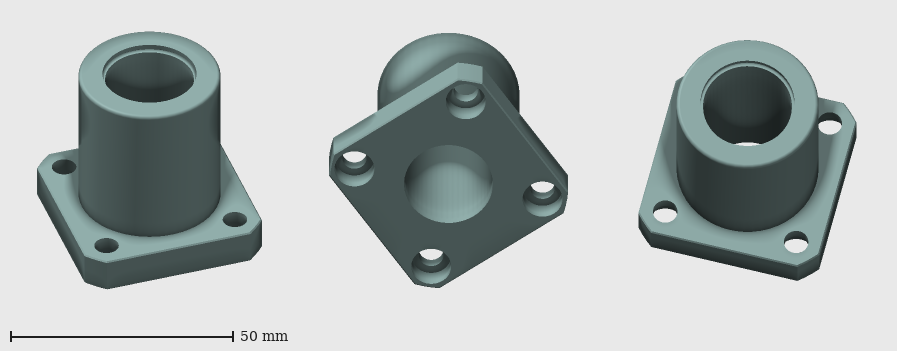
import cadquery as cq

total_height = 42.0
body_diameter = 32.0
body_top_fillet = 0.8

flange_side = 42.0
flange_corner_diameter = 54.0
flange_turn = 45.0
flange_thickness = 8.0
flange_edge_chamfer = 0.3

bore_diameter = 20.0
mouth_diameter = 21.2
mouth_depth = 1.1
groove_diameter = 22.4
groove_width = 0.56

hole_diameter = 5.5
hole_circle_diameter = 43.0
hole_count = 4
counterbore_diameter = 9.0
counterbore_depth = 5.1


def make_cylinder(diameter, height, base_z=0.0):
    return cq.Workplane("XY").workplane(offset=base_z).circle(diameter / 2).extrude(height)


def make_flange():
    square = cq.Workplane("XY").rect(flange_side, flange_side).extrude(flange_thickness)
    square = square.rotate((0, 0, 0), (0, 0, 1), flange_turn)
    plate = square.intersect(make_cylinder(flange_corner_diameter, flange_thickness))
    return plate.faces("<Z or >Z").chamfer(flange_edge_chamfer)


def make_body():
    return make_cylinder(body_diameter, total_height).faces(">Z").edges().fillet(body_top_fillet)


def make_bore():
    through_bore = make_cylinder(bore_diameter, total_height)
    mouth_bottom_z = total_height - mouth_depth
    mouth = make_cylinder(mouth_diameter, mouth_depth, mouth_bottom_z)
    groove = make_cylinder(groove_diameter, groove_width, mouth_bottom_z - groove_width)
    return through_bore.union(groove).union(mouth)


def make_mounting_holes():
    through_hole = make_cylinder(hole_diameter, flange_thickness)
    counterbore = make_cylinder(counterbore_diameter, counterbore_depth)
    stepped_hole = through_hole.union(counterbore).val()
    hole_places = cq.Workplane("XY").polarArray(hole_circle_diameter / 2, 0, 360, hole_count)
    return hole_places.eachpoint(lambda place: stepped_hole.moved(place))


result = make_flange().union(make_body()).cut(make_bore()).cut(make_mounting_holes())